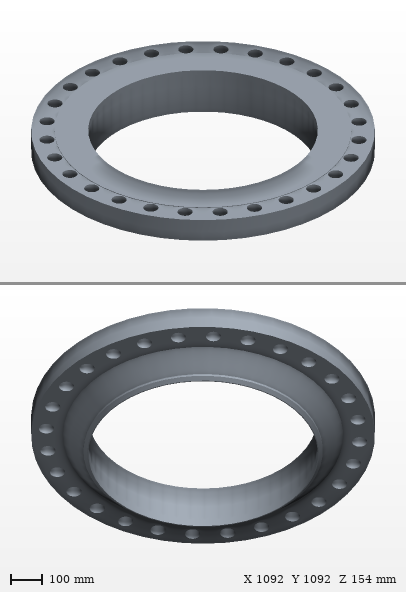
import cadquery as cq

flange_diameter = 1092.0
total_height = 154.0
bore_diameter = 730.0

raised_face_diameter = 944.0
raised_face_height = 2.0
plate_thickness = 76.0

hub_base_diameter = 890.0
neck_diameter = 760.0
neck_length = 8.0
weld_end_diameter = 736.0
weld_bevel_height = 10.0

bolt_count = 28
bolt_circle_diameter = 997.0
bolt_hole_diameter = 48.0

neck_bottom = weld_bevel_height
neck_top = neck_bottom + neck_length
plate_top = total_height - raised_face_height
plate_bottom = plate_top - plate_thickness

profile = [
    (bore_diameter / 2, 0),
    (weld_end_diameter / 2, 0),
    (neck_diameter / 2, neck_bottom),
    (neck_diameter / 2, neck_top),
    (hub_base_diameter / 2, plate_bottom),
    (flange_diameter / 2, plate_bottom),
    (flange_diameter / 2, plate_top),
    (raised_face_diameter / 2, plate_top),
    (raised_face_diameter / 2, total_height),
    (bore_diameter / 2, total_height),
]
body = cq.Workplane("XZ").polyline(profile).close().revolve(360, (0, 0), (0, 1))

bolt_holes = (
    cq.Workplane("XY")
    .polarArray(bolt_circle_diameter / 2, 0, 360, bolt_count)
    .circle(bolt_hole_diameter / 2)
    .extrude(total_height)
)

result = body.cut(bolt_holes)